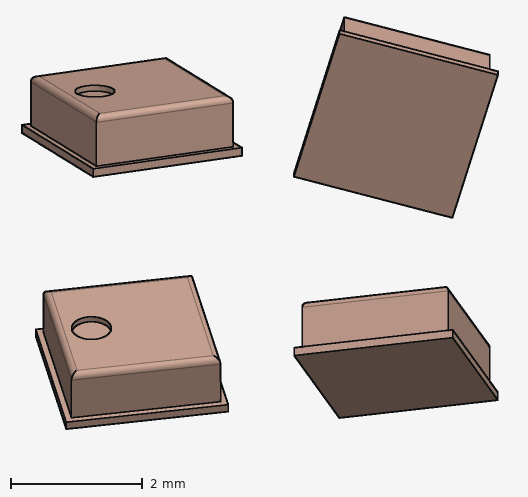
import cadquery as cq

board_side = 2.5
total_height = 0.93
board_thickness = 0.13

lid_margin = 0.1
lid_side = board_side - 2 * lid_margin
lid_height = total_height - board_thickness
lid_edge_radius = 0.1

port_diameter = 0.6
port_offset_y = -0.625
port_depth = 0.092


def make_board():
    """Flat square board standing on Z = 0."""
    return cq.Workplane("XY").box(board_side, board_side, board_thickness, centered=(True, True, False))


def make_lid():
    """Square lid on the board, with rounded top edges and a round recess."""
    block = (
        cq.Workplane("XY")
        .workplane(offset=board_thickness)
        .box(lid_side, lid_side, lid_height, centered=(True, True, False))
    )
    rounded = block.faces(">Z").edges().fillet(lid_edge_radius)
    port = (
        cq.Workplane("XY")
        .workplane(offset=total_height - port_depth)
        .center(0, port_offset_y)
        .circle(port_diameter / 2)
        .extrude(port_depth)
    )
    return rounded.cut(port)


board = make_board()
lid = make_lid()
result = cq.Compound.makeCompound([board.val(), lid.val()])